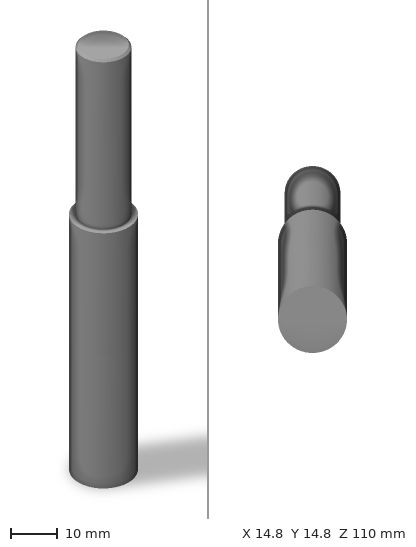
import cadquery as cq

total_length = 110.0
outer_diameter = 14.8
pin_diameter = 12.0
lower_length = 34.3
upper_length = 31.8
tip_chamfer = 0.5

shoulder_height = lower_length + upper_length
pin_length = total_length - shoulder_height


def make_base():
    """Plain cylinder at the bottom."""
    return cq.Workplane("XY").circle(outer_diameter / 2).extrude(lower_length)


def make_stepped_shaft():
    """Collar seated on the base, with a narrower pin chamfered at its tip."""
    collar = (
        cq.Workplane("XY")
        .workplane(offset=lower_length)
        .circle(outer_diameter / 2)
        .extrude(upper_length)
    )
    pin = (
        cq.Workplane("XY")
        .workplane(offset=shoulder_height)
        .circle(pin_diameter / 2)
        .extrude(pin_length)
        .faces(">Z")
        .chamfer(tip_chamfer)
    )
    return collar.union(pin)


base = make_base()
stepped_shaft = make_stepped_shaft()

result = cq.Compound.makeCompound([base.val(), stepped_shaft.val()])